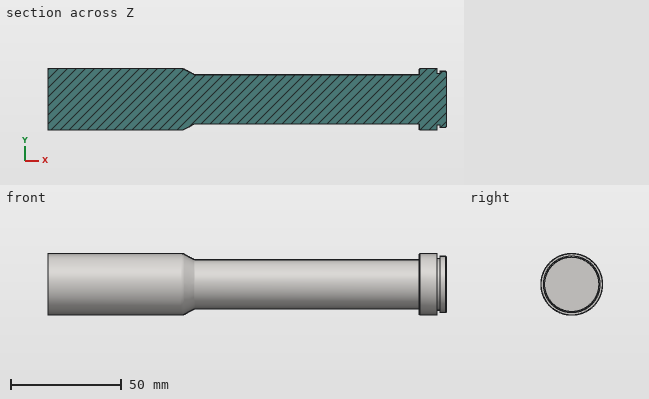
import cadquery as cq
import math

length = 180.2
outer_radius = 13.97
shaft_radius = 11.2

handle_end = 60.4
taper_angle = math.radians(28)
handle_blend_radius = 2.9
shaft_blend_radius = 1.0

collar_start = 167.8
collar_end = 175.9
collar_chamfer = 0.4
groove_radius = 11.7
cap_start = 177.1
cap_radius = 12.8
cap_chamfer = 0.5


def blend_point(radius, angle):
    """Axial and radial travel along a blend arc that starts parallel to the axis."""
    return radius * math.sin(angle), radius * (1 - math.cos(angle))


handle_mid = blend_point(handle_blend_radius, taper_angle / 2)
handle_full = blend_point(handle_blend_radius, taper_angle)
shaft_mid = blend_point(shaft_blend_radius, taper_angle / 2)
shaft_full = blend_point(shaft_blend_radius, taper_angle)

taper_start = handle_end + handle_full[0]
taper_start_radius = outer_radius - handle_full[1]
taper_end_radius = shaft_radius + shaft_full[1]
taper_end = taper_start + (taper_start_radius - taper_end_radius) / math.tan(taper_angle)
shaft_start = taper_end + shaft_full[0]

profile = (
    cq.Workplane("XY")
    .moveTo(0, 0)
    .lineTo(0, outer_radius)
    .lineTo(handle_end, outer_radius)
    .threePointArc(
        (handle_end + handle_mid[0], outer_radius - handle_mid[1]),
        (taper_start, taper_start_radius),
    )
    .lineTo(taper_end, taper_end_radius)
    .threePointArc(
        (shaft_start - shaft_mid[0], shaft_radius + shaft_mid[1]),
        (shaft_start, shaft_radius),
    )
    .lineTo(collar_start, shaft_radius)
    .lineTo(collar_start, outer_radius - collar_chamfer)
    .lineTo(collar_start + collar_chamfer, outer_radius)
    .lineTo(collar_end, outer_radius)
    .lineTo(collar_end, groove_radius)
    .lineTo(cap_start, groove_radius)
    .lineTo(cap_start, cap_radius)
    .lineTo(length - cap_chamfer, cap_radius)
    .lineTo(length, cap_radius - cap_chamfer)
    .lineTo(length, 0)
    .close()
)

result = profile.revolve(360, (0, 0, 0), (1, 0, 0))